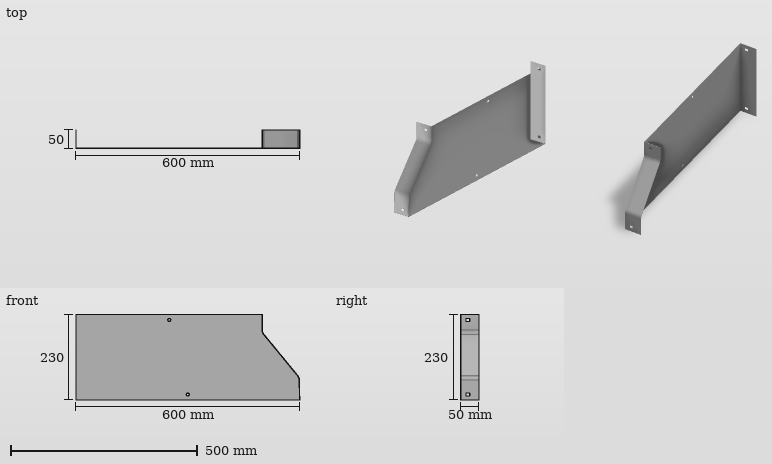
import cadquery as cq

length = 600.0
depth = 50.0
height = 230.0
sheet = 0.9

upper_length = 500.0
step_z = 181.0
shoulder_x = 599.0
shoulder_z = 60.5
bend_radius = 18.0

hole_diameter = 7.0
hole_inset = 15.0
top_hole_x = 250.0
bottom_hole_x = 300.0
flange_hole_width = 9.0
flange_hole_height = 7.0
flange_hole_y = 20.0

hole_heights = (hole_inset, height - hole_inset)


def make_body():
    """Solid block with the panel outline and rounded corners on the stepped edge."""
    outline = [
        (0, 0),
        (length, 0),
        (shoulder_x, shoulder_z),
        (upper_length, step_z),
        (upper_length, height),
        (0, height),
    ]
    block = cq.Workplane("XZ").polyline(outline).close().extrude(-depth)
    for x, z in ((shoulder_x, shoulder_z), (upper_length, step_z)):
        corner = cq.selectors.NearestToPointSelector((x, depth / 2, z))
        block = block.edges("|Y").edges(corner).fillet(bend_radius)
    return block


def make_sheet(block):
    """Hollow the block, leaving the front panel and the left and right flanges."""
    open_faces = block.faces(">Y or >Z or <Z")
    return open_faces.shell(-sheet)


def cut_panel_holes(part):
    for x, z in ((bottom_hole_x, hole_heights[0]), (top_hole_x, hole_heights[1])):
        drill = cq.Workplane("XZ").center(x, z).circle(hole_diameter / 2).extrude(-depth)
        part = part.cut(drill)
    return part


def cut_flange_holes(part):
    """Rectangular holes that line up through the left and right flanges."""
    for z in hole_heights:
        cutter = (
            cq.Workplane("YZ")
            .center(flange_hole_y, z)
            .rect(flange_hole_width, flange_hole_height)
            .extrude(length)
        )
        part = part.cut(cutter)
    return part


result = cut_flange_holes(cut_panel_holes(make_sheet(make_body())))